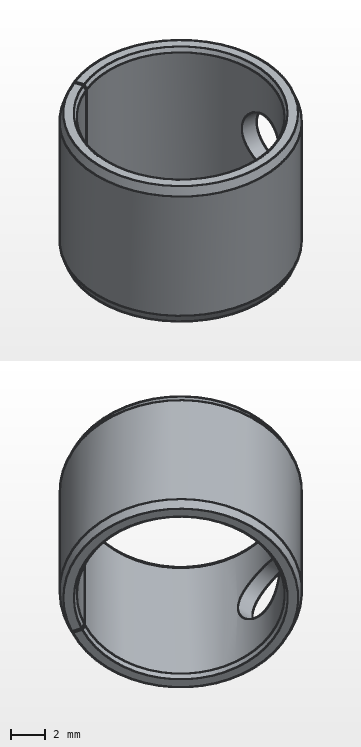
import cadquery as cq
import math

outer_diameter = 14.0
bore_diameter = 12.0
length = 10.0

outer_chamfer_length = 0.6
outer_chamfer_angle = 20.0
bore_chamfer_length = 0.3
bore_chamfer_angle = 30.0

gap_angle = 1.0

oil_hole_diameter = 4.0
oil_hole_from_gap = 120.0

outer_radius = outer_diameter / 2
bore_radius = bore_diameter / 2
mid_height = length / 2
full_turn = 360.0
half_turn = 180.0


def chamfer_width(chamfer_length, angle):
    """Radial width of a chamfer of given axial length and angle to the axis."""
    return chamfer_length * math.tan(math.radians(angle))


def make_split_sleeve():
    """Chamfered wall section on the -X side, revolved about Z up to the joint gap."""
    end_outer_radius = outer_radius - chamfer_width(outer_chamfer_length, outer_chamfer_angle)
    end_bore_radius = bore_radius + chamfer_width(bore_chamfer_length, bore_chamfer_angle)
    wall_section = [
        (-bore_radius, bore_chamfer_length),
        (-end_bore_radius, 0),
        (-end_outer_radius, 0),
        (-outer_radius, outer_chamfer_length),
        (-outer_radius, length - outer_chamfer_length),
        (-end_outer_radius, length),
        (-end_bore_radius, length),
        (-bore_radius, length - bore_chamfer_length),
    ]
    section = cq.Workplane("XZ").polyline(wall_section).close()
    return section.revolve(full_turn - gap_angle, (0, 0), (0, 1))


def make_oil_hole():
    """Radial cylinder from the bushing axis outwards, at mid length."""
    direction = half_turn - gap_angle - oil_hole_from_gap
    cylinder = cq.Workplane("YZ").center(0, mid_height).circle(oil_hole_diameter / 2).extrude(outer_diameter)
    return cylinder.rotate((0, 0, 0), (0, 0, 1), direction)


result = make_split_sleeve().cut(make_oil_hole())